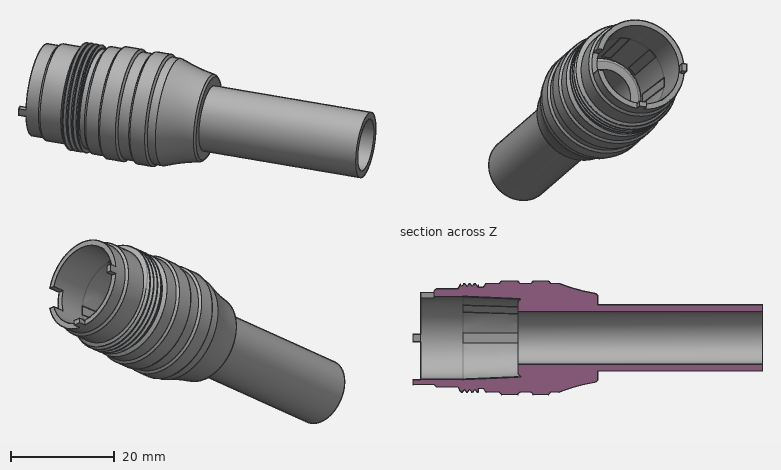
import cadquery as cq
import math

LENGTH = 67.5
TAB_LENGTH = 1.5

NOSE_END = 4.05
NOSE_CHAMFER_END = 4.5
THREAD_START = 8.7
THREAD_END = 12.6
RELIEF_END = 13.6
BODY_START = 14.1
RING_STARTS = (17.1, 23.2)
RING_ENDS = (20.25, 26.2)
RING_RAMP = 0.4
TAPER_START = 28.2
SHELL_END = 35.7
END_CHAMFER = 0.4

NOSE_RADIUS = 9.05
COLLAR_RADIUS = 9.5
THREAD_ROOT_RADIUS = 10.0
RELIEF_RADIUS = 9.8
BODY_RADIUS = 10.5
RING_RADIUS = 11.0
SHELL_END_RADIUS = 8.6
TAPER_SAG = 0.2
TUBE_RADIUS = 6.4
TUBE_BORE_RADIUS = 5.05

THREAD_PITCH = 1.0
THREAD_LEAD_IN = 0.55
THREAD_CREST_WIDTH = 0.2
THREAD_PHASE = 190.0
CUTTER_OVERSHOOT = 0.1

SOCKET_RADIUS = 7.95
SOCKET_STRAIGHT_END = 9.65
SOCKET_END = 20.25
SOCKET_END_RADIUS = 7.5
NOSE_ROUND = 0.8
KEYWAY_DEPTH = 0.1
KEYWAY_WIDTH = 1.9
KEYWAY_ANGLES = (0, 45, 90, 180, 225, 270)

TAB_WIDTH = 1.5
TAB_INNER_RADIUS = 8.0
TAB_ANGLES = (0, 270)
NOTCH_WIDTH = 4.3


def revolve_about_x(outline):
    return outline.close().revolve(360, (0, 0, 0), (1, 0, 0))


def turned_about_x(solid, angle):
    """Turn a solid built on the -Y side about X, toward +Z for positive angles."""
    return solid.rotate((0, 0, 0), (1, 0, 0), -angle)


def outer_shell():
    profile = (
        cq.Workplane("XY")
        .moveTo(TAB_LENGTH, 0)
        .lineTo(TAB_LENGTH, NOSE_RADIUS)
        .lineTo(NOSE_END, NOSE_RADIUS)
        .lineTo(NOSE_CHAMFER_END, COLLAR_RADIUS)
        .lineTo(THREAD_START, COLLAR_RADIUS)
        .lineTo(THREAD_START + THREAD_LEAD_IN, BODY_RADIUS)
        .lineTo(THREAD_END, BODY_RADIUS)
        .lineTo(THREAD_END, RELIEF_RADIUS)
        .lineTo(RELIEF_END, RELIEF_RADIUS)
        .lineTo(BODY_START, BODY_RADIUS)
    )
    for start, end in zip(RING_STARTS, RING_ENDS):
        profile = (
            profile.lineTo(start - RING_RAMP, BODY_RADIUS)
            .lineTo(start, RING_RADIUS)
            .lineTo(end, RING_RADIUS)
            .lineTo(end + RING_RAMP, BODY_RADIUS)
        )
    taper_end = SHELL_END - END_CHAMFER
    taper_middle = (
        (TAPER_START + taper_end) / 2,
        (BODY_RADIUS + SHELL_END_RADIUS) / 2 - TAPER_SAG,
    )
    profile = (
        profile.lineTo(TAPER_START, BODY_RADIUS)
        .threePointArc(taper_middle, (taper_end, SHELL_END_RADIUS))
        .lineTo(SHELL_END, SHELL_END_RADIUS - END_CHAMFER)
        .lineTo(SHELL_END, TUBE_RADIUS)
        .lineTo(LENGTH, TUBE_RADIUS)
        .lineTo(LENGTH, 0)
    )
    return revolve_about_x(profile)


def thread_groove():
    """Right-handed V groove, run out past both ends of the threaded band."""
    start = THREAD_START - THREAD_PITCH
    height = THREAD_END + THREAD_PITCH / 2 - start
    depth = BODY_RADIUS - THREAD_ROOT_RADIUS
    crest_half_width = (THREAD_PITCH - THREAD_CREST_WIDTH) / 2
    cutter_half_width = crest_half_width * (depth + CUTTER_OVERSHOOT) / depth
    cutter_radius = BODY_RADIUS + CUTTER_OVERSHOOT
    path = cq.Wire.makeHelix(THREAD_PITCH, height, THREAD_ROOT_RADIUS)
    groove = (
        cq.Workplane("XZ")
        .moveTo(THREAD_ROOT_RADIUS, 0)
        .lineTo(cutter_radius, cutter_half_width)
        .lineTo(cutter_radius, -cutter_half_width)
        .close()
        .sweep(cq.Workplane(obj=path), isFrenet=True)
    )
    groove = groove.rotate((0, 0, 0), (0, 1, 0), 90).rotate((0, 0, 0), (1, 0, 0), THREAD_PHASE)
    return groove.translate((start, 0, 0))


def socket():
    nose_rim = SOCKET_END_RADIUS - NOSE_ROUND
    round_offset = NOSE_ROUND * (1 - math.sqrt(0.5))
    profile = (
        cq.Workplane("XY")
        .lineTo(0, SOCKET_RADIUS)
        .lineTo(SOCKET_STRAIGHT_END, SOCKET_RADIUS)
        .lineTo(SOCKET_END + NOSE_ROUND, SOCKET_END_RADIUS)
        .threePointArc(
            (SOCKET_END + round_offset, SOCKET_END_RADIUS - round_offset),
            (SOCKET_END, nose_rim),
        )
        .lineTo(SOCKET_END, 0)
    )
    return revolve_about_x(profile)


def keyways():
    """Shallow flat grooves that follow the tapered part of the socket."""
    keyway = (
        cq.Workplane("XY")
        .moveTo(SOCKET_STRAIGHT_END, -TUBE_RADIUS)
        .lineTo(SOCKET_STRAIGHT_END, -SOCKET_RADIUS - KEYWAY_DEPTH)
        .lineTo(SOCKET_END, -SOCKET_END_RADIUS - KEYWAY_DEPTH)
        .lineTo(SOCKET_END, -TUBE_RADIUS)
        .close()
        .extrude(KEYWAY_WIDTH / 2, both=True)
    )
    return [turned_about_x(keyway, angle) for angle in KEYWAY_ANGLES]


def tabs():
    blank = cq.Workplane("YZ").circle(NOSE_RADIUS).extrude(NOSE_END)
    bar = cq.Workplane("XY").box(
        NOSE_END, NOSE_RADIUS - TAB_INNER_RADIUS, TAB_WIDTH, centered=(False, False, True)
    )
    tab = bar.translate((0, -NOSE_RADIUS, 0)).intersect(blank)
    return [turned_about_x(tab, angle) for angle in TAB_ANGLES]


def rim_notch():
    return cq.Workplane("XY").box(
        NOSE_END, BODY_RADIUS, NOTCH_WIDTH, centered=(False, False, True)
    )


def cable_bore():
    return cq.Workplane("YZ").circle(TUBE_BORE_RADIUS).extrude(LENGTH)


result = outer_shell().cut(thread_groove()).cut(socket()).cut(cable_bore())
for keyway in keyways():
    result = result.cut(keyway)
result = result.cut(rim_notch())
for tab in tabs():
    result = result.union(tab)